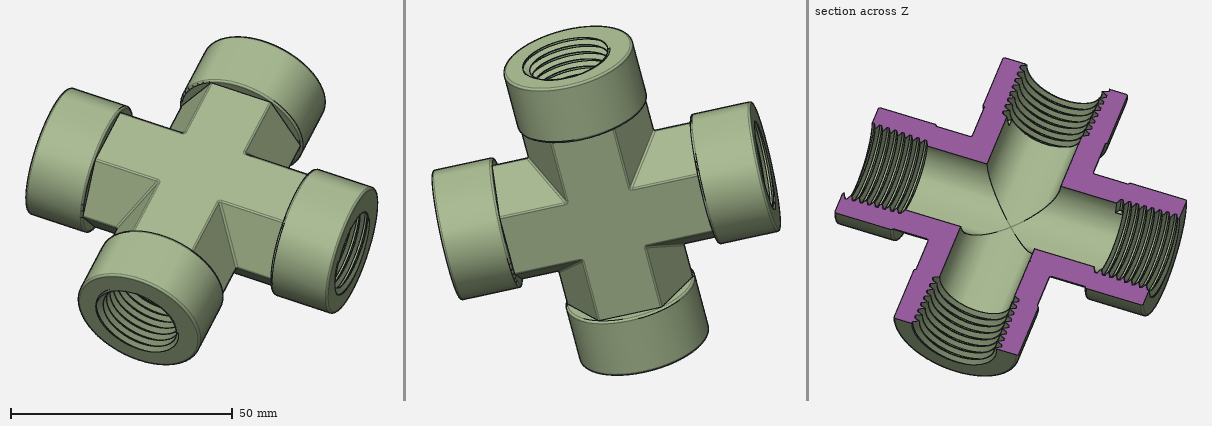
import cadquery as cq
import math

OVERALL_LENGTH = 74.0
COLLAR_DIAMETER = 30.0
COLLAR_LENGTH = 14.0
COLLAR_EDGE_RADIUS = 0.5
HEX_ACROSS_FLATS = 25.0
HEX_ACROSS_CORNERS = 29.3
BODY_EDGE_RADIUS = 0.5
BORE_DIAMETER = 17.6

THREAD_PITCH = 25.4 / 14
THREAD_TAPER = 1 / 32
THREAD_LENGTH = COLLAR_LENGTH
THREAD_CREST_RADIUS = 9.2
THREAD_DEPTH = 1.35
THREAD_FLANK_ANGLE = 25.0
THREAD_START = -0.62
THREAD_START_ANGLE = -90.0
THREAD_CREST_FLAT = 0.06
GROOVE_OVERLAP = 0.1

PORT_COUNT = 4
PORT_SPACING = 360 / PORT_COUNT

ORIGIN = (0, 0, 0)
Y_AXIS = (0, 1, 0)
Z_AXIS = (0, 0, 1)
QUARTER_TURN = 90.0

HALF_LENGTH = OVERALL_LENGTH / 2
BODY_LENGTH = OVERALL_LENGTH - COLLAR_LENGTH


def make_hex_bar():
    """Hexagonal bar along X with flats on top and bottom."""
    half_height = HEX_ACROSS_FLATS / 2
    half_width = HEX_ACROSS_CORNERS / 2
    half_flat = half_width / 2
    outline = [
        (half_width, 0),
        (half_flat, half_height),
        (-half_flat, half_height),
        (-half_width, 0),
        (-half_flat, -half_height),
        (half_flat, -half_height),
    ]
    return cq.Workplane("YZ").polyline(outline).close().extrude(BODY_LENGTH / 2, both=True)


def make_body():
    """Two crossing hexagonal bars with rounded ridges and valleys."""
    bar = make_hex_bar()
    cross = bar.union(bar.rotate(ORIGIN, Z_AXIS, QUARTER_TURN))
    end_edges = cross.faces("<X or >X or <Y or >Y").edges().vals()
    long_edges = [e for e in cross.edges().vals() if not any(e.isSame(f) for f in end_edges)]
    return cross.newObject(long_edges).fillet(BODY_EDGE_RADIUS)


def make_collar():
    """Round collar standing on the XY plane, both rims rounded."""
    collar = cq.Workplane("XY").circle(COLLAR_DIAMETER / 2).extrude(COLLAR_LENGTH)
    return collar.edges().fillet(COLLAR_EDGE_RADIUS)


def make_thread_core():
    """Tapered hole at the thread crests, mouth at Z = 0 and running up Z."""
    inner_radius = THREAD_CREST_RADIUS - THREAD_LENGTH * THREAD_TAPER
    return cq.Workplane(cq.Solid.makeCone(THREAD_CREST_RADIUS, inner_radius, THREAD_LENGTH))


def make_thread_groove():
    """Tapered helical groove with sloping flanks and a flat root."""
    flank_run = math.tan(math.radians(THREAD_FLANK_ANGLE))
    crest_half = (THREAD_PITCH - THREAD_CREST_FLAT) / 2
    root_half = crest_half - THREAD_DEPTH * flank_run
    start_radius = THREAD_CREST_RADIUS - THREAD_START * THREAD_TAPER
    root_radius = start_radius + THREAD_DEPTH
    inner_radius = start_radius - GROOVE_OVERLAP
    profile = (
        cq.Workplane("XZ")
        .moveTo(inner_radius, THREAD_START - crest_half)
        .lineTo(start_radius, THREAD_START - crest_half)
        .lineTo(root_radius, THREAD_START - root_half)
        .lineTo(root_radius, THREAD_START + root_half)
        .lineTo(start_radius, THREAD_START + crest_half)
        .lineTo(inner_radius, THREAD_START + crest_half)
        .close()
    )
    taper_angle = math.degrees(math.atan(THREAD_TAPER))
    helix = cq.Wire.makeHelix(
        THREAD_PITCH,
        THREAD_LENGTH - THREAD_START,
        start_radius,
        center=cq.Vector(0, 0, THREAD_START),
        angle=-taper_angle,
    )
    groove = profile.sweep(cq.Workplane(helix), isFrenet=True)
    return groove.rotate(ORIGIN, Z_AXIS, THREAD_START_ANGLE)


def place_at_port(shape, index):
    """Turn a shape built up from Z = 0 to run inward from the mouth of a port."""
    laid_down = shape.rotate(ORIGIN, Y_AXIS, QUARTER_TURN)
    at_first_port = laid_down.translate((-HALF_LENGTH, 0, 0))
    return at_first_port.rotate(ORIGIN, Z_AXIS, index * PORT_SPACING)


def make_bore():
    """Two crossing plain bores, each running from port to port."""
    bore = cq.Workplane("YZ").circle(BORE_DIAMETER / 2).extrude(HALF_LENGTH, both=True)
    return bore.union(bore.rotate(ORIGIN, Z_AXIS, QUARTER_TURN))


result = make_body()
collar = make_collar()
for port in range(PORT_COUNT):
    result = result.union(place_at_port(collar, port))

result = result.cut(make_bore())
thread_core = make_thread_core()
thread_groove = make_thread_groove()
for port in range(PORT_COUNT):
    result = result.cut(place_at_port(thread_core, port))
    result = result.cut(place_at_port(thread_groove, port))